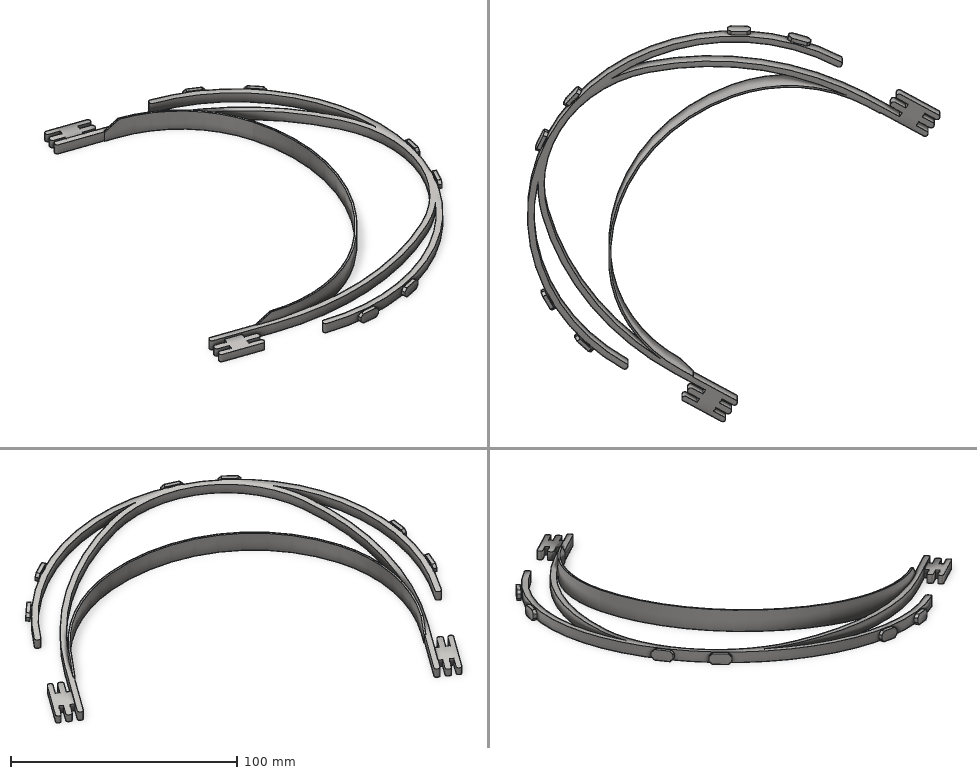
import cadquery as cq
import math

bar_height = 5.0
total_height = 10.0
tooth_height = 4.0

ring_centre_y = -21.5
ring_radius = 91.5
bar_width = 3.0

strut_half_width = 81.5
strut_width = 2.8
strut_crown_y = ring_centre_y + ring_radius - 0.2
strut_crown_radius = 61.6
strut_side_radius = 132.3
foot_y = -72.3
tip_radius = 1.2

band_half_width = 79.4
band_width = 1.0
band_crown_y = 28.5
band_crown_radius = 88.5
band_side_radius = 66.5
band_end_y = -48.6
ramp_length = 7.0

tooth_length = 22.2
outer_tooth_x = 90.0
outer_tooth_width = 2.5
middle_tooth_x = 85.3
middle_tooth_width = 3.0
bridge_length = 8.7

clip_angles = (13.8, 30.5, 82)
clip_length = 10.2
clip_thickness = 1.8
clip_chamfer = 1.5
clip_gap = 0.5
stem_length = 4.5
stem_height = 3.0


def arch_outline(half_width, crown_y, crown_radius, side_radius, end_y):
    """Open wire: right leg up, side arc, crown arc, side arc, left leg down."""
    radius_step = crown_radius - side_radius
    crown_centre_y = crown_y - crown_radius
    side_centre_x = half_width - side_radius
    rise = math.copysign(math.sqrt(radius_step**2 - side_centre_x**2), radius_step)
    side_centre_y = crown_centre_y + rise
    joint_angle = math.atan2(rise / radius_step, side_centre_x / radius_step)
    joint_x = side_centre_x + side_radius * math.cos(joint_angle)
    joint_y = side_centre_y + side_radius * math.sin(joint_angle)
    middle_x = side_centre_x + side_radius * math.cos(joint_angle / 2)
    middle_y = side_centre_y + side_radius * math.sin(joint_angle / 2)
    return (
        cq.Workplane("XY")
        .moveTo(half_width, end_y)
        .lineTo(half_width, side_centre_y)
        .threePointArc((middle_x, middle_y), (joint_x, joint_y))
        .threePointArc((0, crown_y), (-joint_x, joint_y))
        .threePointArc((-middle_x, middle_y), (-half_width, side_centre_y))
        .lineTo(-half_width, end_y)
    )


def arch(half_width, crown_y, crown_radius, side_radius, end_y, width, height):
    """Arched strip of constant width, standing on Z = 0."""
    outer = arch_outline(half_width, crown_y, crown_radius, side_radius, end_y).close().extrude(height)
    inner = (
        arch_outline(half_width - width, crown_y - width, crown_radius - width, side_radius - width, end_y)
        .close()
        .extrude(height)
    )
    return outer.cut(inner)


def box(length, width, height, x, y):
    """Upright box centred on (x, y), standing on Z = 0."""
    return cq.Workplane("XY").center(x, y).rect(length, width).extrude(height)


def both_sides(body):
    return body.union(body.mirror("YZ"))


def outer_ring():
    inner_radius = ring_radius - bar_width
    ring = (
        cq.Workplane("XY")
        .center(0, ring_centre_y)
        .moveTo(ring_radius, 0)
        .threePointArc((0, ring_radius), (-ring_radius, 0))
        .lineTo(-inner_radius, 0)
        .threePointArc((0, inner_radius), (inner_radius, 0))
        .close()
        .extrude(bar_height)
    )
    return ring.faces("<Y").edges("|Z").fillet(tip_radius)


def inner_strut():
    strut = arch(
        strut_half_width, strut_crown_y, strut_crown_radius, strut_side_radius,
        foot_y, strut_width, bar_height,
    )
    return strut.faces("<Y").edges("|Z").fillet(tip_radius)


def headband():
    band = arch(
        band_half_width, band_crown_y, band_crown_radius, band_side_radius,
        band_end_y, band_width, total_height,
    )
    ramp = (
        cq.Workplane("YZ")
        .moveTo(band_end_y, bar_height)
        .lineTo(band_end_y + ramp_length, total_height)
        .lineTo(band_end_y, total_height)
        .close()
        .extrude(band_half_width, both=True)
    )
    return band.cut(ramp)


def hook_plate():
    centre_y = foot_y + tooth_length / 2
    leg_x = strut_half_width - strut_width / 2
    plate = box(
        outer_tooth_x - leg_x, bridge_length, tooth_height,
        (outer_tooth_x + leg_x) / 2, centre_y,
    )
    for x, width in ((outer_tooth_x, outer_tooth_width), (middle_tooth_x, middle_tooth_width)):
        tooth = box(width, tooth_length, tooth_height, x, centre_y)
        plate = plate.union(tooth.edges("|Z").fillet(tip_radius))
    return plate


def clip(angle):
    """Chamfered plate held tangent to the ring by a short stem."""
    stem_depth = bar_width / 2 + clip_gap
    stem = box(stem_depth, stem_length, stem_height, ring_radius + clip_gap - stem_depth / 2, 0)
    stem = stem.translate((0, 0, (bar_height - stem_height) / 2))
    plate_x = ring_radius + clip_gap + clip_thickness / 2
    plate = box(clip_thickness, clip_length, bar_height, plate_x, 0)
    plate = plate.edges("|X").chamfer(clip_chamfer)
    return stem.union(plate).rotate((0, 0, 0), (0, 0, 1), angle).translate((0, ring_centre_y, 0))


result = outer_ring().union(inner_strut()).union(headband()).union(both_sides(hook_plate()))
for clip_angle in clip_angles:
    result = result.union(both_sides(clip(clip_angle)))